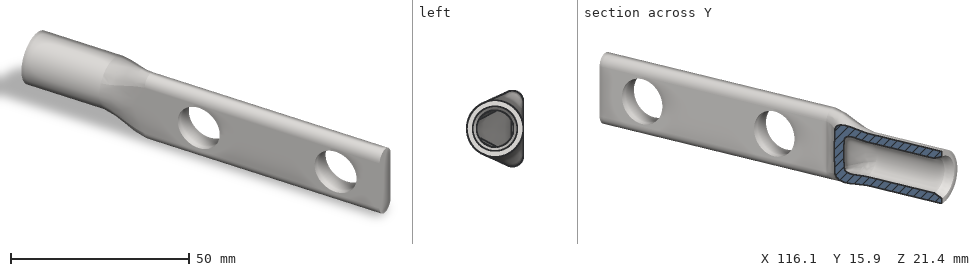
import cadquery as cq
import math

length = 116.1
barrel_length = 25.2
neck_end = 39.9
neck_length = neck_end - barrel_length

barrel_diameter = 15.9
barrel_radius = barrel_diameter / 2
bore_diameter = 10.3
bore_radius = bore_diameter / 2
mouth_diameter = 12.5
mouth_depth = 2.5

palm_width = 21.4
palm_thickness = 6.2
palm_y = (palm_thickness - barrel_diameter) / 2
stud_diameter = 13.6
stud_places = (57.5, 101.8)

slit_width = 15.1
slit_thickness = 0.6

neck_stages = ((0, 0), (0.25, 0.19), (0.5, 0.5), (0.75, 0.82), (1, 1))
corner_angle = math.radians(28)


def circle_points(radius):
    """Eight (y, z) points: arc joints alternating with arc middles."""
    angles = []
    for side in (0, math.pi):
        angles += [
            side - corner_angle,
            side,
            side + corner_angle,
            side + math.pi / 2,
        ]
    return [(radius * math.cos(a), radius * math.sin(a)) for a in angles]


def flat_points(width, thickness):
    """Eight matching points on a round-edged strip at the palm's mid-plane."""
    half = thickness / 2
    flat = (width - thickness) / 2
    points = [
        (half, -flat),
        (half, 0),
        (half, flat),
        (0, width / 2),
        (-half, flat),
        (-half, 0),
        (-half, -flat),
        (0, -width / 2),
    ]
    return [(y + palm_y, z) for y, z in points]


def section(x, start, end, blend):
    """Closed wire of four edges, blended between two sets of points."""
    points = []
    for (y0, z0), (y1, z1) in zip(start, end):
        points.append(cq.Vector(x, y0 + blend * (y1 - y0), z0 + blend * (z1 - z0)))
    edges = []
    for i in range(0, len(points), 2):
        joint, middle, next_joint = points[i], points[i + 1], points[(i + 2) % len(points)]
        straight = blend == 1 and i % 4 == 0
        if straight:
            edges.append(cq.Edge.makeLine(joint, next_joint))
        else:
            edges.append(cq.Edge.makeThreePointArc(joint, middle, next_joint))
    return cq.Wire.assembleEdges(edges)


def neck_loft(start, end):
    wires = [section(barrel_length + t * neck_length, start, end, s) for t, s in neck_stages]
    return cq.Workplane(cq.Solid.makeLoft(wires))


barrel = cq.Workplane("YZ").circle(barrel_radius).extrude(barrel_length)
palm_outline = flat_points(palm_width, palm_thickness)
neck = neck_loft(circle_points(barrel_radius), palm_outline)
palm_profile = section(neck_end, palm_outline, palm_outline, 1)
palm = cq.Workplane(
    cq.Solid.extrudeLinear(palm_profile, [], cq.Vector(length - neck_end, 0, 0))
)
body = barrel.union(neck).union(palm)

bore = cq.Workplane("YZ").circle(bore_radius).extrude(barrel_length)
mouth = cq.Workplane(
    cq.Solid.makeCone(
        mouth_diameter / 2, bore_radius, mouth_depth, cq.Vector(0, 0, 0), cq.Vector(1, 0, 0)
    )
)
cavity = neck_loft(circle_points(bore_radius), flat_points(slit_width, slit_thickness))
body = body.cut(bore).cut(mouth).cut(cavity)

stud_holes = (
    cq.Workplane("XZ")
    .pushPoints([(x, 0) for x in stud_places])
    .circle(stud_diameter / 2)
    .extrude(barrel_diameter, both=True)
)
result = body.cut(stud_holes)